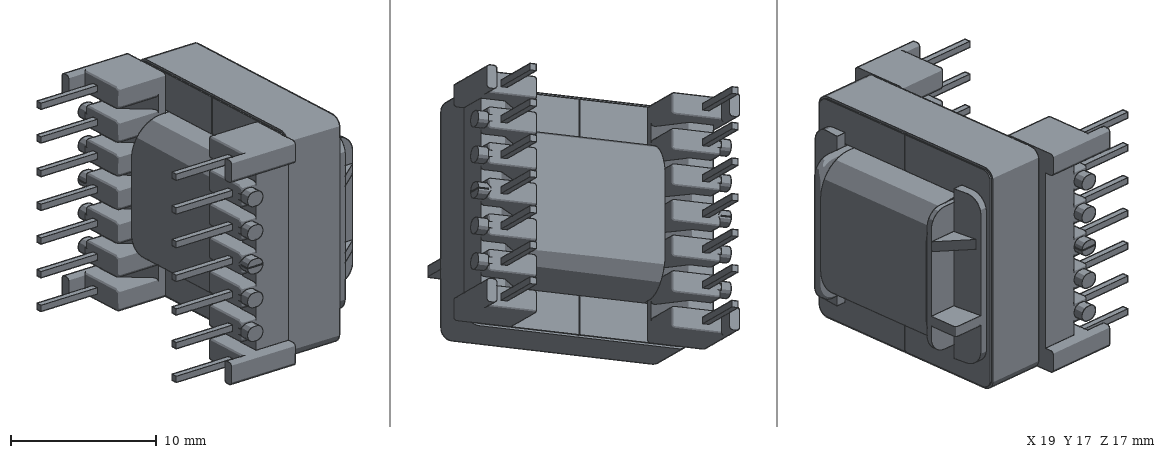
import cadquery as cq
import math


edge_radius = 0.25

core_depth = 4.75
core_half_length = 8.2
core_half_height = 8.36
core_corner_radius = 0.7
core_gap = 0.08
center_leg_height = 4.75
window_half_length = 5.74
window_half_height = 5.59
tape_thickness = 0.15
tape_width = 4.48

coil_half = 5.45
coil_half_length = 5.05
coil_corner_radius = 2.7

bore_half = 2.49
tube_wall = 0.51
flange_half = 5.5
flange_thickness = 0.55
flange_corner_radius = 1.33
tube_half = bore_half + tube_wall
flange_outer_x = coil_half_length + flange_thickness

wing_end_x = 7.96
wing_half_height = 6.54
wing_corner_radius = 1.27
wing_tip_y = 3.04
wing_root_y = 3.29
gusset_thickness = 0.76
gusset_end_x = 7.58

rail_outer_x = 8.74
rail_front_y = -5.3
rail_half_height = 7.98
block_front_y = -6.63
block_height = 1.65
end_block_outer_x = 9.5
lip_front_y = -8.02
ramp_bottom_y = -3.12
outer_ramp_start_x = 6.94
middle_ramp_start_x = 7.2
peg_height = 1.1
peg_root_height = 0.45
peg_slit = 0.08

pins_per_side = 7
pin_pitch = 2.53
pin_x = 7.58
pin_size = 0.48
pin_tip_y = -11.51
pin_embed = 0.57

last_row = pins_per_side // 2
rows = range(-last_row, last_row + 1)
join_overlap = 0.19


def box_between(x0, x1, y0, y1, z0, z1):
    return cq.Workplane("XY").box(x1 - x0, y1 - y0, z1 - z0, centered=False).translate((x0, y0, z0))


def centered_box(half_x, half_y, half_z):
    return cq.Workplane("XY").box(2 * half_x, 2 * half_y, 2 * half_z)


def core_outline_block(growth, depth):
    """Rounded block following the core outline, grown outward by growth."""
    block = centered_box(core_half_length + growth, depth / 2, core_half_height + growth)
    return block.edges("|Y").fillet(core_corner_radius + growth)


def make_core_half(side):
    """E-shaped half lying on the +X side (side = 1) or the -X side (side = -1)."""
    half_depth = core_depth / 2
    core = core_outline_block(0, core_depth)
    leg_half = center_leg_height / 2
    for z0, z1 in ((leg_half, window_half_height), (-window_half_height, -leg_half)):
        core = core.cut(
            box_between(-window_half_length, window_half_length, -half_depth, half_depth, z0, z1)
        )
    keep = box_between(
        core_gap / 2, core_half_length, -half_depth, half_depth, -core_half_height, core_half_height
    )
    if side < 0:
        keep = keep.mirror("YZ")
    return core.intersect(keep)


def make_tape():
    return core_outline_block(tape_thickness, tape_width).cut(core_outline_block(0, tape_width))


def make_winding():
    coil = centered_box(coil_half_length, coil_half, coil_half).edges("|X").fillet(coil_corner_radius)
    return coil.cut(centered_box(coil_half_length, tube_half, tube_half))


def make_flange():
    flange = box_between(
        coil_half_length, flange_outer_x, rail_front_y, flange_half, -flange_half, flange_half
    )
    flange = flange.edges("|X and >Y").fillet(flange_corner_radius)
    return flange.faces(">Y").edges("<X").fillet(edge_radius)


def make_wing():
    """Tapered plate at the rear of a flange."""
    wing = (
        cq.Workplane("XY")
        .polyline([
            (flange_outer_x, bore_half),
            (wing_end_x, bore_half),
            (wing_end_x, wing_tip_y),
            (flange_outer_x, wing_root_y),
        ])
        .close()
        .extrude(wing_half_height, both=True)
    )
    outline = box_between(
        -wing_end_x, wing_end_x, bore_half, wing_root_y, -wing_half_height, wing_half_height
    )
    return wing.intersect(outline.edges("|Y").fillet(wing_corner_radius))


def make_gusset(bottom_z):
    """Triangular rib between a flange and the rear face of its wing."""
    return (
        cq.Workplane("XY")
        .workplane(offset=bottom_z)
        .polyline([
            (flange_outer_x - join_overlap, bore_half),
            (gusset_end_x, bore_half),
            (gusset_end_x, wing_tip_y),
            (flange_outer_x, flange_half),
            (flange_outer_x - join_overlap, flange_half),
        ])
        .close()
        .extrude(gusset_thickness)
    )


def make_key_plate():
    """Full rectangular rib that marks the -X, -Z corner."""
    plate = box_between(
        -wing_end_x, -flange_outer_x + join_overlap,
        bore_half, flange_half,
        -bore_half - gusset_thickness, -bore_half,
    )
    return plate.edges("|Z and <X and >Y").fillet(edge_radius)


def make_block(outer_x):
    """Pin block with every edge rounded except those on its rear face, centred on Z = 0."""
    half_height = block_height / 2
    block = box_between(
        coil_half_length, outer_x, block_front_y, -bore_half, -half_height, half_height
    )
    return block.edges("not >Y").fillet(edge_radius)


def make_end_block():
    half_height = block_height / 2
    lip = box_between(
        rail_outer_x, end_block_outer_x, lip_front_y, -bore_half, -half_height, half_height
    )
    return make_block(end_block_outer_x).union(lip.edges("|Y").fillet(edge_radius))


def make_peg(is_split):
    """Wire peg along X with a round-ended section, split in two on the middle row."""
    start_x = rail_outer_x - edge_radius
    peg = (
        cq.Workplane("YZ")
        .slot2D(rail_front_y - block_front_y, peg_height)
        .extrude(end_block_outer_x - start_x)
        .translate((start_x, (rail_front_y + block_front_y) / 2, 0))
    )
    half_slit = peg_slit / 2
    slit = box_between(
        rail_outer_x, end_block_outer_x, block_front_y, rail_front_y, -half_slit, half_slit
    )
    return peg.cut(slit) if is_split else peg.union(make_peg_root())


def make_peg_root():
    """Square stretch of the block edge where the peg meets the front face."""
    return box_between(
        rail_outer_x - edge_radius, rail_outer_x, block_front_y, rail_front_y,
        -peg_root_height / 2, peg_root_height / 2,
    )


def make_ramp_cut(row_below):
    """Wire channel between two rows: a ramp falling from the rail front to the winding."""
    next_to_middle_row = row_below in (-1, 0)
    start_x = middle_ramp_start_x if next_to_middle_row else outer_ramp_start_x
    angle = math.atan2(ramp_bottom_y - rail_front_y, start_x - coil_half_length)
    tangent = edge_radius * math.tan(angle / 2)
    flat_point = (start_x + tangent, rail_front_y)
    arc_center_y = rail_front_y + edge_radius
    ramp_point = (start_x - tangent * math.cos(angle), rail_front_y + tangent * math.sin(angle))
    mid_point = (
        flat_point[0] - edge_radius * math.sin(angle / 2),
        arc_center_y - edge_radius * math.cos(angle / 2),
    )
    profile = (
        cq.Workplane("XY")
        .moveTo(*flat_point)
        .threePointArc(mid_point, ramp_point)
        .lineTo(coil_half_length, ramp_bottom_y)
        .lineTo(coil_half_length - join_overlap, ramp_bottom_y)
        .lineTo(coil_half_length - join_overlap, rail_front_y)
        .close()
    )
    return profile.extrude(pin_pitch).translate((0, 0, row_below * pin_pitch))


def make_pin():
    half = pin_size / 2
    return box_between(
        pin_x - half, pin_x + half, pin_tip_y, block_front_y + pin_embed, -half, half
    )


def make_pin_side():
    """Flange, wing, upper gusset, rail, blocks, pegs and pins of the +X side."""
    side = make_flange().union(make_wing()).union(make_gusset(bore_half))
    side = side.union(box_between(
        coil_half_length, rail_outer_x, rail_front_y, -bore_half, -rail_half_height, rail_half_height
    ))
    for row in rows[:-1]:
        side = side.cut(make_ramp_cut(row))
    for row in rows:
        is_end = abs(row) == last_row
        block = make_end_block() if is_end else make_block(rail_outer_x).union(make_peg(row == 0))
        block = block.union(make_pin())
        side = side.union(block.translate((0, 0, row * pin_pitch)))
    return side.cut(centered_box(end_block_outer_x, bore_half, bore_half))


def make_coil_former():
    tube = centered_box(flange_outer_x, tube_half, tube_half)
    tube = tube.cut(centered_box(flange_outer_x, bore_half, bore_half))
    pin_side = make_pin_side()
    former = tube.union(pin_side).union(pin_side.mirror("YZ"))
    former = former.union(make_gusset(-bore_half - gusset_thickness))
    return former.union(make_key_plate())


coil_former = make_coil_former()
winding = make_winding()
core_halves = [make_core_half(side) for side in (-1, 1)]
tape = make_tape()

result = cq.Compound.makeCompound([
    coil_former.val(),
    winding.val(),
    *[half.val() for half in core_halves],
    tape.val(),
])